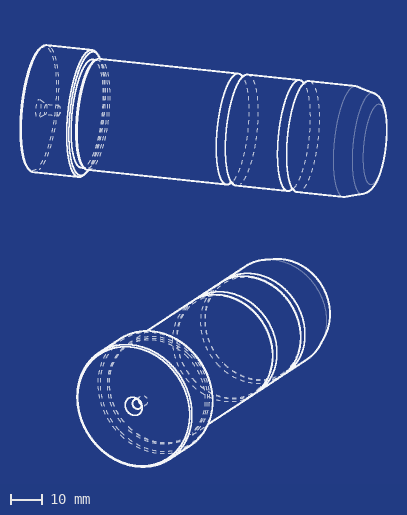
import cadquery as cq
import math

length = 110.0
head_radius = 20.0
head_length = 16.0
head_chamfer = 0.5
shaft_radius = 17.5

neck_depth = 0.4
neck_end = 17.5
neck_ramp_end = 18.0

groove_centers = (65.0, 85.0)
groove_width = 3.0
groove_depth = 0.7

taper_start = 101.8
taper_end = 107.5
taper_angle = math.radians(15)

hole_diameter = 3.2
hole_depth = 6.6
drill_point_angle = math.radians(118)
countersink_diameter = 5.9
countersink_angle = math.radians(60)


def revolve_about_x(profile):
    return profile.close().revolve(360, (0, 0, 0), (1, 0, 0))


def make_body():
    neck_radius = shaft_radius - neck_depth
    taper_end_radius = shaft_radius - (taper_end - taper_start) * math.tan(taper_angle)
    tip_radius = (length - taper_end) / (1 - math.sin(taper_angle))
    tip_center_x = length - tip_radius
    tip_center_r = taper_end_radius - tip_radius * math.cos(taper_angle)
    tip_mid_angle = (math.pi / 2 - taper_angle) / 2
    tip_mid = (
        tip_center_x + tip_radius * math.cos(tip_mid_angle),
        tip_center_r + tip_radius * math.sin(tip_mid_angle),
    )

    profile = (
        cq.Workplane("XY")
        .lineTo(0, head_radius - head_chamfer)
        .lineTo(head_chamfer, head_radius)
        .lineTo(head_length - head_chamfer, head_radius)
        .lineTo(head_length, head_radius - head_chamfer)
        .lineTo(head_length, neck_radius)
        .lineTo(neck_end, neck_radius)
        .lineTo(neck_ramp_end, shaft_radius)
    )
    for center in groove_centers:
        profile = profile.lineTo(center - groove_width / 2, shaft_radius).threePointArc(
            (center, shaft_radius - groove_depth),
            (center + groove_width / 2, shaft_radius),
        )
    profile = (
        profile.lineTo(taper_start, shaft_radius)
        .lineTo(taper_end, taper_end_radius)
        .threePointArc(tip_mid, (length, tip_center_r))
        .lineTo(length, 0)
    )
    return revolve_about_x(profile)


def make_center_hole():
    hole_radius = hole_diameter / 2
    countersink_radius = countersink_diameter / 2
    countersink_depth = (countersink_radius - hole_radius) / math.tan(countersink_angle / 2)
    point_length = hole_radius / math.tan(drill_point_angle / 2)
    profile = (
        cq.Workplane("XY")
        .lineTo(0, countersink_radius)
        .lineTo(countersink_depth, hole_radius)
        .lineTo(hole_depth, hole_radius)
        .lineTo(hole_depth + point_length, 0)
    )
    return revolve_about_x(profile)


result = make_body().cut(make_center_hole())